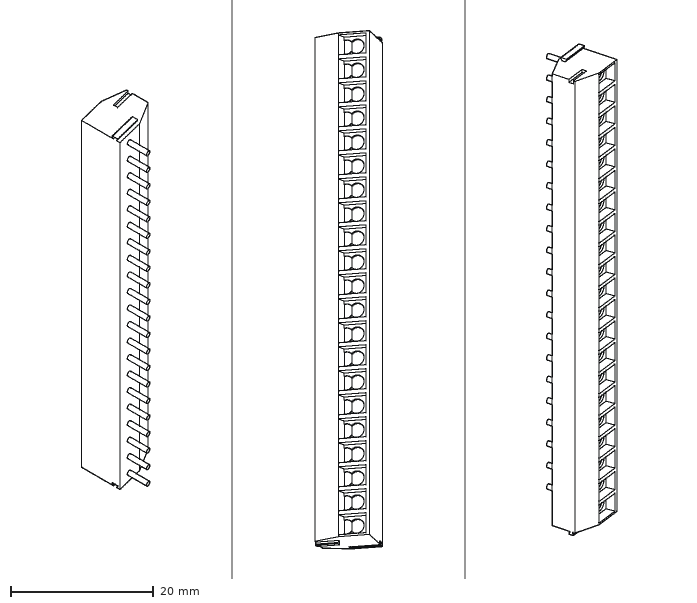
import cadquery as cq

cell_count = 21
pitch = 3.5
body_height = cell_count * pitch
body_width = 6.85
body_depth = 8.4

shoulder_drop = 3.9
shoulder_inset = 1.5
shoulder_y = body_depth - shoulder_drop

pin_diameter = 0.8
pin_length = 3.4
pin_root = 0.75
pin_y = 2.1

pocket_height = 2.9
pocket_depth = 1.4
pocket_mouth_y = 0.5
pocket_back_front_y = 0.7
pocket_back_rear_y = 4.1

recess_diameter = 2.1
clamp_recess_y = 3.8
clamp_recess_depth = 0.2
wire_recess_y = 2.2
wire_recess_depth = 0.4

rail_flare = 0.335
rail_lip = 0.15
rail_height = rail_flare + rail_lip

front_rail_x = body_width - 0.9
front_rail_neck_width = 0.5
front_rail_lip_width = 1.0
front_rail_length = 4.6

back_rail_x = 2.15
back_rail_neck_width = 0.45
back_rail_lip_width = 0.75
back_rail_length = 3.35
back_groove_width = 0.75


def box(x0, x1, y0, y1, z0, z1):
    """Axis-aligned box between two corners."""
    return cq.Workplane("XY").box(x1 - x0, y1 - y0, z1 - z0, centered=False).translate((x0, y0, z0))


def dovetail(x, y, z, length, neck_width, lip_width, direction):
    """Bar along +Y that flares from a narrow neck at z to a wider lip; direction is +1 (up) or -1 (down)."""
    half_neck = neck_width / 2
    half_lip = lip_width / 2
    flare_end = z + direction * rail_flare
    tip = z + direction * rail_height
    points = [
        (x - half_neck, z),
        (x - half_lip, flare_end),
        (x - half_lip, tip),
        (x + half_lip, tip),
        (x + half_lip, flare_end),
        (x + half_neck, z),
    ]
    return cq.Workplane("XZ", origin=(0, y, 0)).polyline(points).close().extrude(-length)


def housing():
    return (
        cq.Workplane("XY")
        .polyline(
            [
                (0, 0),
                (body_width, 0),
                (body_width, shoulder_y),
                (body_width - shoulder_inset, body_depth),
                (shoulder_inset, body_depth),
                (0, shoulder_y),
            ]
        )
        .close()
        .extrude(body_height)
    )


def round_recess(y, depth):
    """Cutter reaching `depth` beyond the back of the pocket."""
    return cq.Workplane("YZ", origin=(0, y, 0)).circle(recess_diameter / 2).extrude(pocket_depth + depth)


def entry_pocket():
    """Cutter for one cell, centred on z = 0."""
    half_height = pocket_height / 2
    pocket = (
        cq.Workplane("XY", origin=(0, 0, -half_height))
        .polyline(
            [
                (0, pocket_mouth_y),
                (pocket_depth, pocket_back_front_y),
                (pocket_depth, pocket_back_rear_y),
                (0, shoulder_y),
            ]
        )
        .close()
        .extrude(pocket_height)
    )
    step_y = (clamp_recess_y + wire_recess_y) / 2
    reach = pocket_depth + wire_recess_depth
    clamp_zone = box(0, reach, step_y, pocket_back_rear_y, -half_height, half_height)
    wire_zone = box(0, reach, pocket_back_front_y, step_y, -half_height, half_height)
    clamp = round_recess(clamp_recess_y, clamp_recess_depth).intersect(clamp_zone)
    wire = round_recess(wire_recess_y, wire_recess_depth).intersect(wire_zone)
    return pocket.union(clamp).union(wire)


def solder_pin():
    return (
        cq.Workplane("YZ", origin=(body_width - pin_root, pin_y, 0))
        .circle(pin_diameter / 2)
        .extrude(pin_root + pin_length)
    )


def front_dovetail(z):
    return dovetail(front_rail_x, 0, z, front_rail_length, front_rail_neck_width, front_rail_lip_width, 1)


result = housing()

for cell in range(cell_count):
    cell_z = (cell + 0.5) * pitch
    result = result.cut(entry_pocket().translate((0, 0, cell_z)))
    result = result.union(solder_pin().translate((0, 0, cell_z)))

back_rail_y = body_depth - back_rail_length
back_rail = dovetail(
    back_rail_x, back_rail_y, 0, back_rail_length, back_rail_neck_width, back_rail_lip_width, -1
)
back_groove = box(
    back_rail_x - back_groove_width / 2,
    back_rail_x + back_groove_width / 2,
    back_rail_y,
    body_depth,
    body_height - rail_height,
    body_height,
)

result = result.cut(back_groove).cut(front_dovetail(0))
result = result.union(back_rail).union(front_dovetail(body_height))